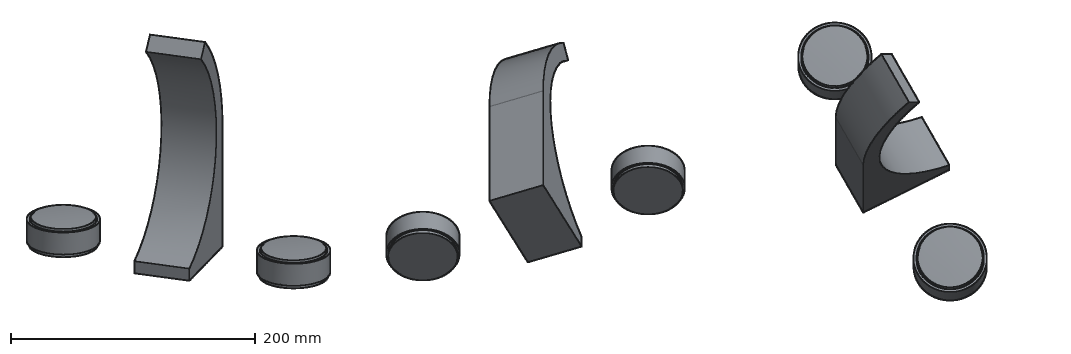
import cadquery as cq
import math

overall_length = 260.2

bracket_width = 48.0
bracket_depth = 80.0
bracket_height = 196.2
plate_thickness = 15.0
inner_radius = 102.3
arc_center_z = 106.0

housing_diameter = 60.0
housing_radius = housing_diameter / 2
foot_radius = 28.4
foot_height = 3.0
housing_top_z = 22.5
recess_radius = 27.5
recess_depth = 3.0
cap_radius = 26.5
cap_edge_z = 24.2
cap_top_z = 25.2

puck_offset = overall_length / 2 - housing_radius


def make_bracket():
    """Extrude the side outline, with two concentric arcs, across the width."""
    back_y = bracket_depth / 2
    toe_y = -back_y
    outer_radius = inner_radius + plate_thickness
    arc_center_y = back_y - outer_radius

    def arc_point(radius, angle):
        return (arc_center_y + radius * math.cos(angle), arc_center_z + radius * math.sin(angle))

    tip_angle = math.asin((bracket_height - arc_center_z) / outer_radius)
    toe_angle = -math.acos((toe_y - arc_center_y) / inner_radius)

    return (
        cq.Workplane("YZ", origin=(-bracket_width / 2, 0, 0))
        .moveTo(toe_y, 0)
        .lineTo(back_y, 0)
        .lineTo(back_y, arc_center_z)
        .threePointArc(arc_point(outer_radius, tip_angle / 2), arc_point(outer_radius, tip_angle))
        .lineTo(*arc_point(inner_radius, tip_angle))
        .threePointArc(
            arc_point(inner_radius, (tip_angle + toe_angle) / 2),
            arc_point(inner_radius, toe_angle),
        )
        .close()
        .extrude(bracket_width)
    )


def make_foot(x):
    """Thin disc under the housing."""
    return cq.Workplane("XY", origin=(x, 0, 0)).circle(foot_radius).extrude(foot_height)


def make_housing(x):
    """Main disc with a round recess in its top."""
    body = (
        cq.Workplane("XY", origin=(x, 0, foot_height))
        .circle(housing_radius)
        .extrude(housing_top_z - foot_height)
    )
    recess = (
        cq.Workplane("XY", origin=(x, 0, housing_top_z - recess_depth))
        .circle(recess_radius)
        .extrude(recess_depth)
    )
    return body.cut(recess)


def make_cap(x):
    """Disc with a slightly domed top, standing on the recess floor with a gap around it."""
    cap_bottom_z = housing_top_z - recess_depth
    dome_rise = cap_top_z - cap_edge_z
    dome_radius = (cap_radius**2 + dome_rise**2) / (2 * dome_rise)
    disc = (
        cq.Workplane("XY", origin=(x, 0, cap_bottom_z))
        .circle(cap_radius)
        .extrude(cap_top_z - cap_bottom_z)
    )
    dome = cq.Workplane("XY").sphere(dome_radius).rotate((0, 0, 0), (0, 1, 0), -90)
    return disc.intersect(dome.translate((x, 0, cap_top_z - dome_radius)))


bracket = make_bracket()
bodies = [bracket.val()]
for puck_x in (-puck_offset, puck_offset):
    foot = make_foot(puck_x)
    housing = make_housing(puck_x)
    cap = make_cap(puck_x)
    bodies += [foot.val(), housing.val(), cap.val()]

result = cq.Compound.makeCompound(bodies)